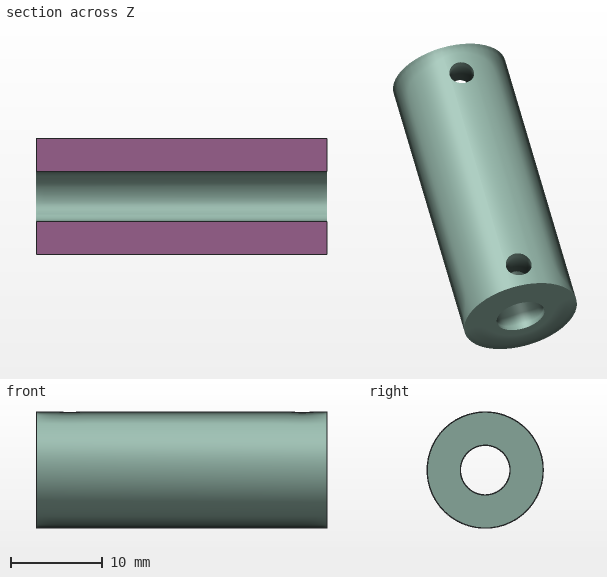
import cadquery as cq

length = 31.75
outer_diameter = 12.7
bore_diameter = 5.4

hole_offset_y = 0.48
left_hole_inset = 3.65
left_hole_diameter = 2.7
right_hole_inset = 2.7
right_hole_diameter = 2.83


def tube():
    """Plain tube centred on the origin."""
    section = cq.Workplane("YZ").circle(outer_diameter / 2).circle(bore_diameter / 2)
    return section.extrude(length / 2, both=True)


def wall_hole(x, diameter):
    """Drill from the tube axis upward, so that only the top wall is pierced."""
    return (
        cq.Workplane("XY")
        .center(x, hole_offset_y)
        .circle(diameter / 2)
        .extrude(outer_diameter / 2)
    )


result = (
    tube()
    .cut(wall_hole(-length / 2 + left_hole_inset, left_hole_diameter))
    .cut(wall_hole(length / 2 - right_hole_inset, right_hole_diameter))
)